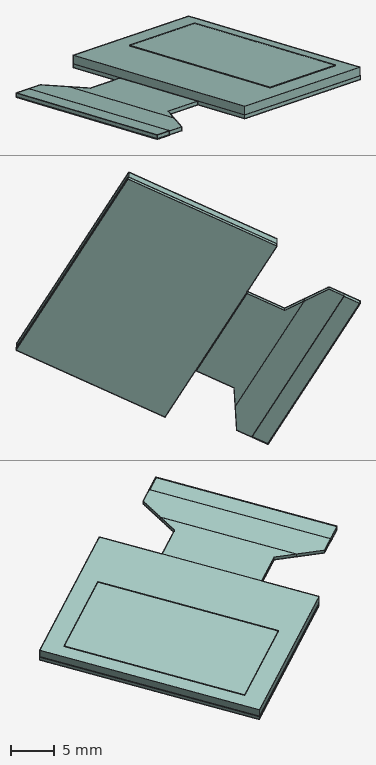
import cadquery as cq

panel_thickness = 0.47
glass_thickness = 1.05
film_thickness = 0.1
stiffener_drop = 0.1
glass_top = panel_thickness + glass_thickness

display_width = 26.75
overall_length = 31.4
display_front = 12.1
glass_setback = 0.1
film_width = 21.98
film_front = 18.87
film_back = 29.77

flex_center = 0.03
neck_width = 12.12
tail_width = 22.07
bond_length = 0.1
flare_start = 7.13
flare_end = 4.08
neck_joint = 5.78
end_joint = 2.05

stiffener_margin = 0.1
stiffener_back = 2.15

neck_back = display_front - bond_length
stiffener_width = tail_width - stiffener_margin
stiffener_center = flex_center - stiffener_margin / 2


def slab(width, front, back, bottom, thickness, center=0):
    """Rectangular plate centred on X = center, from front to back in Y."""
    return (
        cq.Workplane("XY")
        .box(width, back - front, thickness, centered=(True, False, False))
        .translate((center, front, bottom))
    )


def flex_plate(right_side):
    """Plate symmetric about the flex centre line, from the points of its right-hand side."""
    left_side = [(-x, y) for x, y in reversed(right_side)]
    outline = cq.Workplane("XY").polyline(right_side + left_side).close()
    return outline.extrude(panel_thickness).translate((flex_center, 0, 0))


back_panel = slab(display_width, display_front, overall_length, 0, panel_thickness)
glass = slab(
    display_width, display_front, overall_length - glass_setback, panel_thickness, glass_thickness
)
active_film = slab(film_width, film_front, film_back, glass_top, film_thickness)

bond_line = slab(neck_width, neck_back, display_front, 0, panel_thickness, flex_center)

flare_fraction = (flare_start - neck_joint) / (flare_start - flare_end)
joint_half_width = (neck_width + flare_fraction * (tail_width - neck_width)) / 2

stiffener = slab(
    stiffener_width,
    stiffener_margin,
    stiffener_back,
    -stiffener_drop,
    panel_thickness + stiffener_drop,
    stiffener_center,
)

flex_neck = flex_plate(
    [(joint_half_width, neck_joint), (neck_width / 2, flare_start), (neck_width / 2, neck_back)]
)
flex_tail = flex_plate(
    [(tail_width / 2, end_joint), (tail_width / 2, flare_end), (joint_half_width, neck_joint)]
).cut(stiffener)

end_border = slab(tail_width, 0, end_joint, 0, panel_thickness, flex_center).cut(stiffener)

bodies = [
    back_panel,
    glass,
    active_film,
    bond_line,
    flex_neck,
    flex_tail,
    end_border,
    stiffener,
]
result = cq.Compound.makeCompound([body.val() for body in bodies])